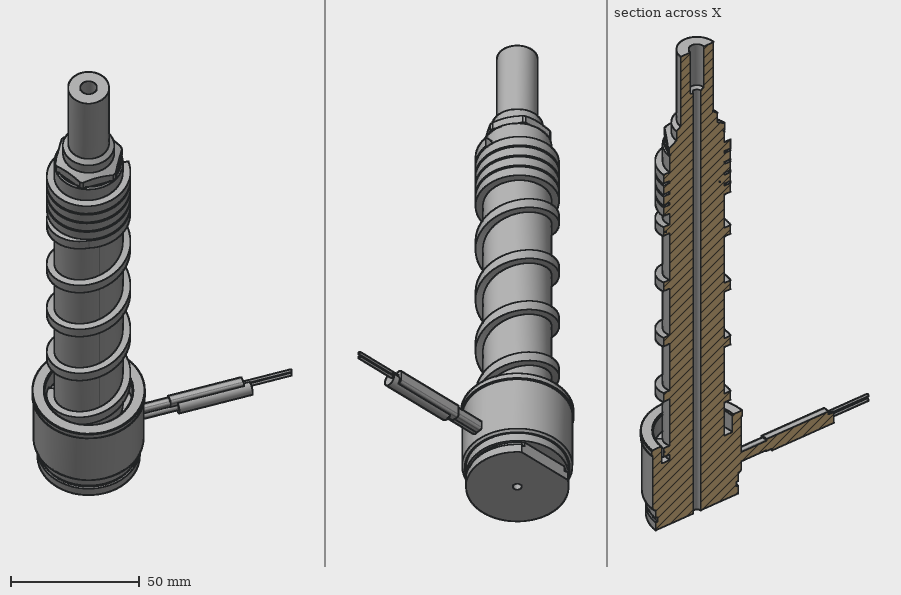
import cadquery as cq
import math

TOTAL_HEIGHT = 226.0

FLANGE_DIA = 44.0
HOUSING_DIA = 43.0
COLLAR_DIA = 40.0
GROOVE_DIA = 38.0
FOOT_TOP_Z = 4.0
GROOVE_TOP_Z = 6.0
COLLAR_TOP_Z = 10.0
FLANGE_BOTTOM_Z = 37.0
HOUSING_TOP_Z = 40.0
HOUSING_CHAMFER = 1.0
FLANGE_CHAMFER = 0.3
BORE_DIA = 34.0
BORE_CHAMFER = 0.5
BORE_FLOOR_Z = 31.5
FOOT_FLAT_X = -16.0

TUBE_DIA = 26.8
TUBE_TOP_Z = 180.5
TUBE_CHAMFER = 0.7
HEX_ACROSS_FLATS = 24.0
HEX_CORNER_DIA = 27.0
HEX_TOP_Z = 185.9
HEX_BEVEL_ANGLE = 30.0
HALF_HEX_ANGLE = 30.0
SHOULDER_DIA = 20.0
SHOULDER_TOP_Z = 190.5
SHAFT_DIA = 16.0
SHAFT_BOTTOM_Z = 192.0
THROUGH_HOLE_DIA = 3.4
TOP_HOLE_DIA = 6.5
TOP_HOLE_DEPTH = 20.0
DRILL_POINT_ANGLE = 118.0

SPRING_OUTER_DIA = 32.6
WIRE_HEIGHT = 4.5
WIRE_BITE = 0.2
SPRING_TOP_Z = 174.7
SPRING_END_ANGLE = 90.0
CLOSED_PITCH = 5.3
CLOSED_TURNS = 4.3
OPEN_PITCH = 27.0
OPEN_TURNS = 4.3

LEAD_START_Y = 19.0
FLAT_LEAD_X = -1.3
FLAT_LEAD_Z = 17.6
FLAT_LEAD_SIZE = (3.6, 4.8)
FLAT_SLEEVE_SIZE = (4.0, 6.2)
FLAT_CORNER_RADIUS = 1.0
SLEEVE_LENGTH = 30.0
FLAT_SLEEVE_START_Y = 33.5
CABLE_X = 0.3
CABLE_Z = 16.4
CABLE_DIA = 2.8
CABLE_SLEEVE_DIA = 5.5
CABLE_SLEEVE_START_Y = 36.3
CORE_DIA = 1.2
CORE_SPACING = 2.2
OVERALL_DEPTH = 105.5
CORE_END_Y = OVERALL_DEPTH - FLANGE_DIA / 2


def disc(diameter, bottom_z, top_z):
    """Upright cylinder on the part axis."""
    return cq.Workplane("XY").workplane(offset=bottom_z).circle(diameter / 2).extrude(top_z - bottom_z)


def make_housing():
    foot = disc(COLLAR_DIA, 0, FOOT_TOP_Z)
    groove = disc(GROOVE_DIA, FOOT_TOP_Z, GROOVE_TOP_Z)
    flat_cut = cq.Workplane("XY").box(COLLAR_DIA, COLLAR_DIA, GROOVE_TOP_Z, centered=(True, True, False))
    flat_cut = flat_cut.translate((FOOT_FLAT_X - COLLAR_DIA / 2, 0, 0))
    foot = foot.union(groove).cut(flat_cut)

    collar = disc(COLLAR_DIA, GROOVE_TOP_Z, COLLAR_TOP_Z)
    body = disc(HOUSING_DIA, COLLAR_TOP_Z, FLANGE_BOTTOM_Z).faces("<Z").chamfer(HOUSING_CHAMFER)
    flange = disc(FLANGE_DIA, FLANGE_BOTTOM_Z, HOUSING_TOP_Z).edges().chamfer(FLANGE_CHAMFER)
    bore = disc(BORE_DIA, BORE_FLOOR_Z, HOUSING_TOP_Z)
    housing = foot.union(collar).union(body).union(flange).cut(bore)
    rim = cq.selectors.RadiusNthSelector(0)
    return housing.faces(">Z").edges(rim).chamfer(BORE_CHAMFER)


def make_hexagon():
    """Hexagon with corners on +Y/-Y, turned down at its corners and bevelled on top."""
    height = HEX_TOP_Z - TUBE_TOP_Z
    corner_dia = HEX_ACROSS_FLATS / math.cos(math.radians(HALF_HEX_ANGLE))
    prism = cq.Workplane("XY").polygon(6, corner_dia).extrude(height)
    prism = prism.rotate((0, 0, 0), (0, 0, 1), HALF_HEX_ANGLE).translate((0, 0, TUBE_TOP_Z))
    bevel_drop = (HEX_CORNER_DIA - SHOULDER_DIA) / 2 * math.tan(math.radians(HEX_BEVEL_ANGLE))
    envelope = (
        cq.Workplane("XZ")
        .moveTo(0, TUBE_TOP_Z)
        .lineTo(HEX_CORNER_DIA / 2, TUBE_TOP_Z)
        .lineTo(HEX_CORNER_DIA / 2, HEX_TOP_Z - bevel_drop)
        .lineTo(SHOULDER_DIA / 2, HEX_TOP_Z)
        .lineTo(0, HEX_TOP_Z)
        .close()
        .revolve(360, (0, 0, 0), (0, 1, 0))
    )
    return prism.intersect(envelope)


def make_column():
    tube = disc(TUBE_DIA, BORE_FLOOR_Z, TUBE_TOP_Z).faces(">Z").chamfer(TUBE_CHAMFER)
    shoulder = disc(SHOULDER_DIA, HEX_TOP_Z, SHAFT_BOTTOM_Z)
    shoulder = shoulder.faces(">Z").chamfer(SHAFT_BOTTOM_Z - SHOULDER_TOP_Z, (SHOULDER_DIA - SHAFT_DIA) / 2)
    shaft = disc(SHAFT_DIA, SHAFT_BOTTOM_Z, TOTAL_HEIGHT)
    return tube.union(make_hexagon()).union(shoulder).union(shaft)


def coil(pitch, turns, bottom_z, start_angle):
    """Right-hand rectangular-wire coil; bottom_z is the wire centre at its lower end."""
    inner_radius = TUBE_DIA / 2 - WIRE_BITE
    outer_radius = SPRING_OUTER_DIA / 2
    mid_radius = (inner_radius + outer_radius) / 2
    path = cq.Workplane(cq.Wire.makeHelix(pitch, pitch * turns, mid_radius))
    wire = (
        cq.Workplane("XZ")
        .center(mid_radius, 0)
        .rect(outer_radius - inner_radius, WIRE_HEIGHT)
        .sweep(path, isFrenet=True)
    )
    return wire.rotate((0, 0, 0), (0, 0, 1), start_angle).translate((0, 0, bottom_z))


def make_spring():
    """Closed coil at the top and the open coil that continues below it."""
    closed_bottom_z = SPRING_TOP_Z - WIRE_HEIGHT / 2 - CLOSED_PITCH * CLOSED_TURNS
    closed_start_angle = SPRING_END_ANGLE - 360 * CLOSED_TURNS
    open_bottom_z = closed_bottom_z - OPEN_PITCH * OPEN_TURNS
    open_start_angle = closed_start_angle - 360 * OPEN_TURNS
    closed_coil = coil(CLOSED_PITCH, CLOSED_TURNS, closed_bottom_z, closed_start_angle)
    open_coil = coil(OPEN_PITCH, OPEN_TURNS, open_bottom_z, open_start_angle)
    return closed_coil, open_coil


def rod(diameter, x, z, start_y, end_y):
    """Round bar running along +Y."""
    plane = cq.Plane((x, start_y, z), (1, 0, 0), (0, 1, 0))
    return cq.Workplane(plane).circle(diameter / 2).extrude(end_y - start_y)


def flat_bar(size, start_y, end_y):
    """Bar along +Y with a rounded rectangular section (width, height)."""
    bar = cq.Workplane("XY").box(size[0], end_y - start_y, size[1]).edges("|Y").fillet(FLAT_CORNER_RADIUS)
    return bar.translate((FLAT_LEAD_X, (start_y + end_y) / 2, FLAT_LEAD_Z))


def make_lead():
    flat_sleeve_end_y = FLAT_SLEEVE_START_Y + SLEEVE_LENGTH
    cable_sleeve_end_y = CABLE_SLEEVE_START_Y + SLEEVE_LENGTH
    lead = flat_bar(FLAT_LEAD_SIZE, LEAD_START_Y, flat_sleeve_end_y)
    lead = lead.union(flat_bar(FLAT_SLEEVE_SIZE, FLAT_SLEEVE_START_Y, flat_sleeve_end_y))
    lead = lead.union(rod(CABLE_DIA, CABLE_X, CABLE_Z, LEAD_START_Y, cable_sleeve_end_y))
    lead = lead.union(rod(CABLE_SLEEVE_DIA, CABLE_X, CABLE_Z, CABLE_SLEEVE_START_Y, cable_sleeve_end_y))
    for side in (-1, 1):
        core_z = FLAT_LEAD_Z + side * CORE_SPACING / 2
        lead = lead.union(rod(CORE_DIA, FLAT_LEAD_X, core_z, FLAT_SLEEVE_START_Y, CORE_END_Y))
    return lead


def make_axial_hole():
    """Hole through the axis: wide at the top, narrowed by a drill-point cone."""
    wide_radius = TOP_HOLE_DIA / 2
    narrow_radius = THROUGH_HOLE_DIA / 2
    cone_top_z = TOTAL_HEIGHT - TOP_HOLE_DEPTH
    cone_height = (wide_radius - narrow_radius) / math.tan(math.radians(DRILL_POINT_ANGLE / 2))
    return (
        cq.Workplane("XZ")
        .moveTo(0, 0)
        .lineTo(narrow_radius, 0)
        .lineTo(narrow_radius, cone_top_z - cone_height)
        .lineTo(wide_radius, cone_top_z)
        .lineTo(wide_radius, TOTAL_HEIGHT)
        .lineTo(0, TOTAL_HEIGHT)
        .close()
        .revolve(360, (0, 0, 0), (0, 1, 0))
    )


def make_part():
    part = make_housing().union(make_column())
    for section in make_spring():
        part = part.union(section)
    part = part.union(make_lead())
    return part.cut(make_axial_hole())


result = make_part()